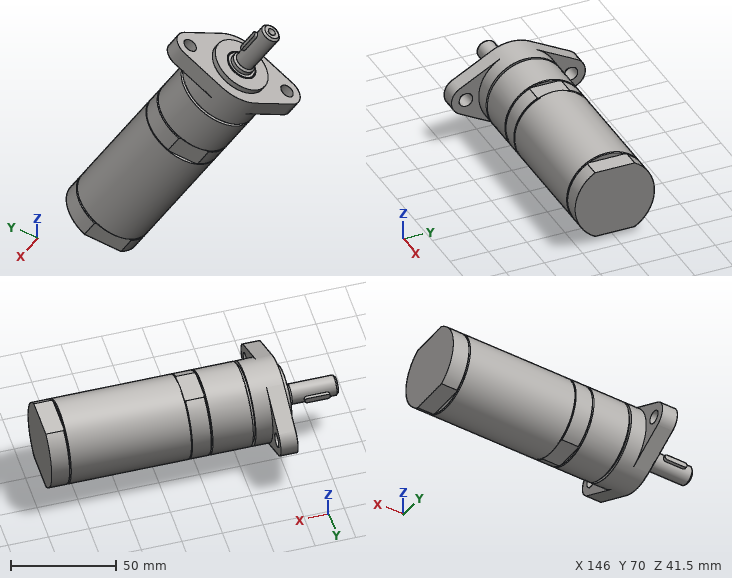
import cadquery as cq
import math

overall_length = 146.0
cone_start_x = 23.0
pilot_face_x = 26.0
flange_front_x = 28.6
flange_back_x = 37.1
groove_start_x = 45.4
groove_end_x = 46.7
front_joint_x = 67.0
middle_joint_x = 77.1
rear_joint_x = 136.8

body_diameter = 41.5
groove_diameter = 38.0
pilot_diameter = 30.0
collar_diameter = 12.0
shaft_diameter = 10.0
edge_chamfer = 0.5
tip_chamfer = 1.0

middle_flats_width = 38.0
rear_flats_width = 35.9

flange_span = 70.0
lug_radius = 8.0
bolt_hole_diameter = 7.0
bolt_hole_offset = 27.5

seal_outer_diameter = 16.0
seal_inner_diameter = 15.0
seal_gap_depth = 0.7

key_start_x = 4.7
key_end_x = 17.2
key_width = 2.9
key_height = 6.4

center_hole_diameter = 4.0
center_drill_diameter = 1.6
center_cone_angle = 60.0
center_drill_depth = 4.4


def turned_part():
    """Shaft, pilot and body revolved about the X axis."""
    shaft_r = shaft_diameter / 2
    collar_r = collar_diameter / 2
    pilot_r = pilot_diameter / 2
    body_r = body_diameter / 2
    groove_r = groove_diameter / 2
    joint_r = body_r - edge_chamfer
    profile = [
        (0, 0),
        (0, shaft_r - tip_chamfer),
        (tip_chamfer, shaft_r),
        (cone_start_x, shaft_r),
        (cone_start_x + collar_r - shaft_r, collar_r),
        (pilot_face_x, collar_r),
        (pilot_face_x, pilot_r),
        (flange_front_x, pilot_r),
        (flange_front_x, body_r),
        (groove_start_x, body_r),
        (groove_start_x, groove_r),
        (groove_end_x, groove_r),
        (groove_end_x, body_r),
        (front_joint_x - edge_chamfer, body_r),
        (front_joint_x, joint_r),
        (front_joint_x + edge_chamfer, body_r),
        (middle_joint_x - edge_chamfer, body_r),
        (middle_joint_x, joint_r),
        (middle_joint_x, body_r),
        (rear_joint_x - edge_chamfer, body_r),
        (rear_joint_x, joint_r),
        (rear_joint_x + edge_chamfer, body_r),
        (overall_length, body_r),
        (overall_length, 0),
    ]
    return cq.Workplane("XY").polyline(profile).close().revolve(360, (0, 0, 0), (1, 0, 0))


def flange():
    """Two lugs whose straight sides are tangent to the body; the plate's middle lies inside the body."""
    body_r = body_diameter / 2
    lug_center = flange_span / 2 - lug_radius
    tangent_sin = (body_r - lug_radius) / lug_center
    tangent_cos = math.sqrt(1 - tangent_sin**2)
    body_y = body_r * tangent_sin
    body_z = body_r * tangent_cos
    lug_y = lug_center + lug_radius * tangent_sin
    lug_z = lug_radius * tangent_cos
    return (
        cq.Workplane("YZ", origin=(flange_front_x, 0, 0))
        .moveTo(-body_y, body_z)
        .lineTo(body_y, body_z)
        .lineTo(lug_y, lug_z)
        .threePointArc((flange_span / 2, 0), (lug_y, -lug_z))
        .lineTo(body_y, -body_z)
        .lineTo(-body_y, -body_z)
        .lineTo(-lug_y, -lug_z)
        .threePointArc((-flange_span / 2, 0), (-lug_y, lug_z))
        .close()
        .extrude(flange_back_x - flange_front_x)
    )


def bolt_holes():
    return (
        cq.Workplane("YZ", origin=(flange_front_x, 0, 0))
        .pushPoints([(-bolt_hole_offset, 0), (bolt_hole_offset, 0)])
        .circle(bolt_hole_diameter / 2)
        .extrude(flange_back_x - flange_front_x)
    )


def wrench_flats(start_x, end_x, width):
    """Material above and below a pair of flats that are `width` apart in Z."""
    length = end_x - start_x
    outer = cq.Workplane("XY").box(length, body_diameter, body_diameter)
    kept = cq.Workplane("XY").box(length, body_diameter, width)
    return outer.cut(kept).translate(((start_x + end_x) / 2, 0, 0))


def seal_gap():
    """Shallow ring groove in the pilot face."""
    return (
        cq.Workplane("YZ", origin=(pilot_face_x, 0, 0))
        .circle(seal_outer_diameter / 2)
        .circle(seal_inner_diameter / 2)
        .extrude(seal_gap_depth)
    )


def shaft_key():
    """Round-ended key standing out of the +Y side of the shaft."""
    return (
        cq.Workplane("XZ", origin=((key_start_x + key_end_x) / 2, 0, 0))
        .slot2D(key_end_x - key_start_x, key_width)
        .extrude(-key_height)
    )


def center_hole():
    """Conical countersink running into a small pilot drill with a flat bottom."""
    hole_r = center_hole_diameter / 2
    drill_r = center_drill_diameter / 2
    cone_depth = (hole_r - drill_r) / math.tan(math.radians(center_cone_angle / 2))
    profile = [
        (0, 0),
        (0, hole_r),
        (cone_depth, drill_r),
        (center_drill_depth, drill_r),
        (center_drill_depth, 0),
    ]
    return cq.Workplane("XY").polyline(profile).close().revolve(360, (0, 0, 0), (1, 0, 0))


result = (
    turned_part()
    .union(flange())
    .union(shaft_key())
    .cut(bolt_holes())
    .cut(wrench_flats(front_joint_x, middle_joint_x, middle_flats_width))
    .cut(wrench_flats(rear_joint_x, overall_length, rear_flats_width))
    .cut(seal_gap())
    .cut(center_hole())
)